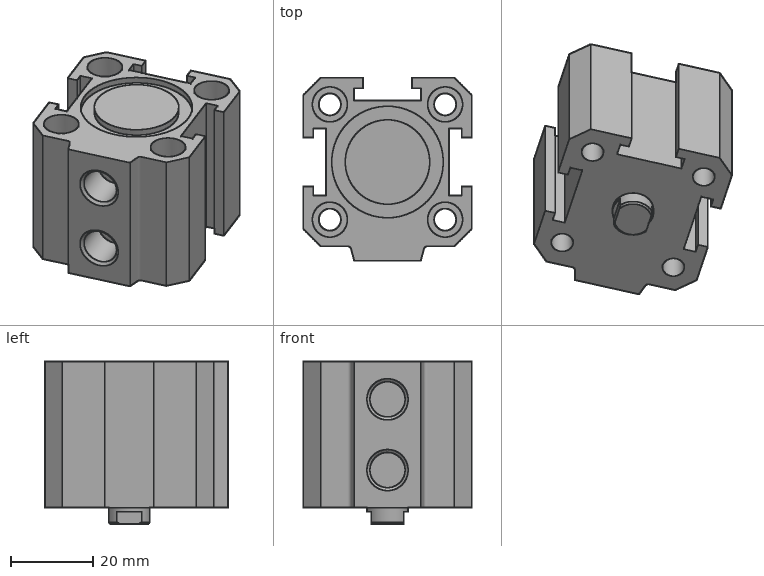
import cadquery as cq
import math

width = 41.0
half_width = width / 2
depth_with_port_block = 44.5
height = 35.5
corner_chamfer = 4.25

block_front_y = half_width - depth_with_port_block
block_front_half_width = 8.1
block_taper_angle = 15.0
block_root_radius = 0.85

slot_mouth_half_width = 5.9
slot_inner_half_width = 8.1
slot_depth = 5.5
side_lip_thickness = 2.5
back_lip_thickness = 2.6

bolt_spacing = 28.0
bolt_hole_diameter = 5.3
bolt_counterbore_diameter = 8.5
bolt_counterbore_depth = 5.4

recess_outer_diameter = 27.1
recess_inner_diameter = 20.5
recess_depth = 1.55

port_diameter = 8.55
port_mouth_diameter = 10.0
port_depth = 9.8
port_heights = [9.12, 26.3]

rod_diameter = 10.0
rod_projection = 4.0
rod_engagement = 10.0
rod_chamfer = 0.45
rod_across_flats = 8.0
flats_gap = 1.02


def make_body_block():
    return (
        cq.Workplane("XY")
        .rect(width, width)
        .extrude(height)
        .edges("|Z")
        .chamfer(corner_chamfer)
    )


def add_port_block(body):
    root_half_width = block_front_half_width + (
        (-half_width - block_front_y) * math.tan(math.radians(block_taper_angle))
    )
    block = (
        cq.Workplane("XY")
        .moveTo(-block_front_half_width, block_front_y)
        .lineTo(block_front_half_width, block_front_y)
        .lineTo(root_half_width, -half_width)
        .lineTo(root_half_width, 0)
        .lineTo(-root_half_width, 0)
        .lineTo(-root_half_width, -half_width)
        .close()
        .extrude(height)
    )
    root_edges = cq.selectors.BoxSelector(
        (-root_half_width - 0.45, -half_width - 0.45, 0),
        (root_half_width + 0.45, -half_width + 0.45, height),
    )
    return body.union(block).edges("|Z").edges(root_edges).fillet(block_root_radius)


def make_slot(lip_thickness, turn):
    """T-slot in the +Y face, turned about the Z axis to its own face."""
    mouth = (
        cq.Workplane("XY")
        .rect(2 * slot_mouth_half_width, slot_depth)
        .extrude(height)
        .translate((0, half_width - slot_depth / 2, 0))
    )
    inner_depth = slot_depth - lip_thickness
    inner = (
        cq.Workplane("XY")
        .rect(2 * slot_inner_half_width, inner_depth)
        .extrude(height)
        .translate((0, half_width - slot_depth + inner_depth / 2, 0))
    )
    return mouth.union(inner).rotate((0, 0, 0), (0, 0, 1), turn)


def cut_slots(body):
    for lip_thickness, turn in [
        (back_lip_thickness, 0),
        (side_lip_thickness, 90),
        (side_lip_thickness, -90),
    ]:
        body = body.cut(make_slot(lip_thickness, turn))
    return body


def cut_bolt_holes(body):
    return (
        body.faces(">Z")
        .workplane(origin=(0, 0, height))
        .rect(bolt_spacing, bolt_spacing, forConstruction=True)
        .vertices()
        .cboreHole(bolt_hole_diameter, bolt_counterbore_diameter, bolt_counterbore_depth)
    )


def cut_cap_recess(body):
    ring = (
        cq.Workplane("XY", origin=(0, 0, height - recess_depth))
        .circle(recess_outer_diameter / 2)
        .circle(recess_inner_diameter / 2)
        .extrude(recess_depth)
    )
    return body.cut(ring)


def make_port(port_height):
    """Blind port with a 45 degree countersink, revolved about its own axis."""
    radius = port_diameter / 2
    mouth_radius = port_mouth_diameter / 2
    countersink = mouth_radius - radius
    return (
        cq.Workplane("XY")
        .moveTo(0, 0)
        .lineTo(mouth_radius, 0)
        .lineTo(radius, countersink)
        .lineTo(radius, port_depth)
        .lineTo(0, port_depth)
        .close()
        .revolve(360, (0, 0, 0), (0, 1, 0))
        .translate((0, block_front_y, port_height))
    )


def cut_ports(body):
    for port_height in port_heights:
        body = body.cut(make_port(port_height))
    return body


def cut_rod_bore(body):
    bore = cq.Workplane("XY").circle(rod_diameter / 2).extrude(rod_engagement)
    return body.cut(bore)


def make_housing():
    body = add_port_block(make_body_block())
    body = cut_slots(body)
    body = cut_bolt_holes(body)
    body = cut_cap_recess(body)
    body = cut_ports(body)
    return cut_rod_bore(body)


def make_rod():
    rod = (
        cq.Workplane("XY", origin=(0, 0, -rod_projection))
        .circle(rod_diameter / 2)
        .extrude(rod_projection + rod_engagement)
        .faces("<Z")
        .chamfer(rod_chamfer)
    )
    flats_length = rod_projection - flats_gap
    flats = (
        cq.Workplane("XY", origin=(0, 0, -rod_projection))
        .rect(2 * rod_diameter, 2 * rod_diameter)
        .rect(rod_across_flats, 2 * rod_diameter)
        .extrude(flats_length)
    )
    return rod.cut(flats)


housing = make_housing()
rod = make_rod()

result = cq.Compound.makeCompound([housing.val(), rod.val()])